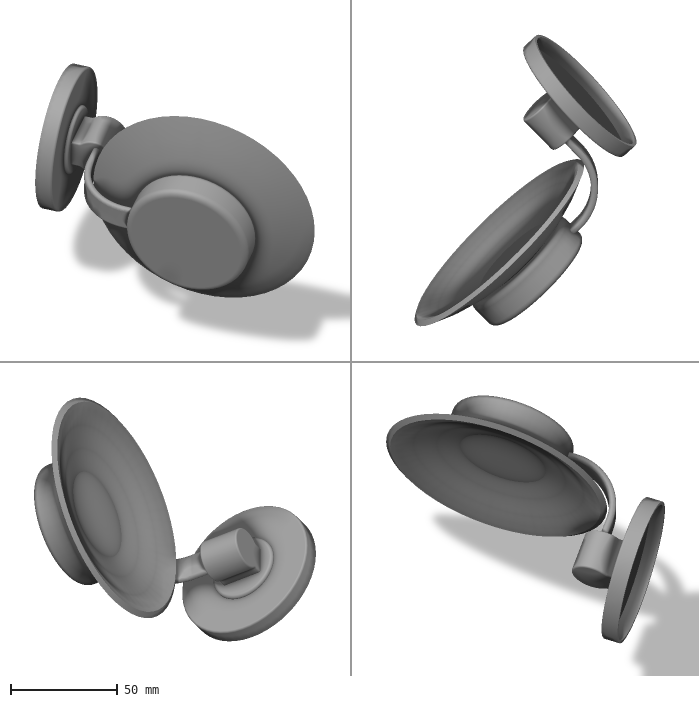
import cadquery as cq
import math


overall_length = 136.0

cover_radius = 35.0
cover_depth = 8.2
cover_wall = 1.5
cover_edge_fillet = 1.0

flange_radius = 16.7
flange_thickness = 1.8
flange_fillet = 1.5
knuckle_radius = 10.0
knuckle_x = 21.2
knuckle_length = 20.4
neck_height = 14.1
neck_fillet = 2.3
bracket_edge_fillet = 0.8

dish_diameter = 110.0
dish_radius = dish_diameter / 2
dish_x = overall_length - dish_radius
dish_sphere_radius = 115.6
rim_edge_y = -26.5
rim_bevel_height = 1.6
rim_bevel_width = 2.6
dish_floor = 2.5

cup_radius = 30.2
cup_height = 15.1
cup_fillet = 3.0
cup_back_y = -38.2

arm_thickness = 3.3
arm_x = 22.2
arm_start_y = -knuckle_length / 2
arm_end_y = -45.2
arm_bend_radius = 25.8
arm_start_width = 14.1
arm_end_width = 12.2
arm_overrun = 2.0
arm_edge_fillet = 1.5


def make_cover():
    cap = cq.Workplane("YZ").circle(cover_radius).extrude(cover_depth)
    cap = cap.faces(">X").edges().fillet(cover_edge_fillet)
    cavity_depth = cover_depth - cover_wall
    cavity = cq.Workplane("YZ").circle(cover_radius - cover_wall).extrude(cavity_depth)
    return cap.cut(cavity)


def make_bracket():
    knuckle = cq.Workplane("XZ").center(knuckle_x, 0).circle(knuckle_radius)
    knuckle = knuckle.extrude(knuckle_length / 2, both=True)
    neck_length = knuckle_x - cover_depth
    neck = cq.Workplane("XY").box(neck_length, knuckle_length, neck_height)
    neck = neck.translate((cover_depth + neck_length / 2, 0, 0))
    body = knuckle.union(neck)

    junction_x = knuckle_x - math.sqrt(knuckle_radius**2 - (neck_height / 2) ** 2)
    half_band = 0.1
    junctions = cq.selectors.BoxSelector(
        (junction_x - half_band, -knuckle_length, -neck_height),
        (junction_x + half_band, knuckle_length, neck_height),
    )
    body = body.edges("|Y").edges(junctions).fillet(neck_fillet)
    body = body.faces("<Y or >Y").edges("not(<X)").fillet(bracket_edge_fillet)

    flange = cq.Workplane("YZ").workplane(offset=cover_depth).circle(flange_radius)
    flange = flange.extrude(flange_thickness).faces(">X").edges().fillet(flange_fillet)
    return body.union(flange)


def sphere_radius_at(y, sphere_radius, centre_y):
    """Distance from the dish axis to a sphere surface at height y."""
    return math.sqrt(sphere_radius**2 - (centre_y - y) ** 2)


def sphere_y_at(radius, sphere_radius, centre_y):
    """Height of a sphere's lower surface at a distance from the dish axis."""
    return centre_y - math.sqrt(sphere_radius**2 - radius**2)


def make_dish():
    centre_y = rim_edge_y + math.sqrt(dish_sphere_radius**2 - dish_radius**2)
    rim_top_y = rim_edge_y + rim_bevel_height
    rim_top_radius = dish_radius - rim_bevel_width
    inner_sphere_radius = math.hypot(rim_top_radius, centre_y - rim_top_y)

    foot_y = cup_back_y
    floor_y = foot_y + dish_floor
    foot_radius = sphere_radius_at(foot_y, dish_sphere_radius, centre_y)
    floor_radius = sphere_radius_at(floor_y, inner_sphere_radius, centre_y)
    outer_mid = (foot_radius + dish_radius) / 2
    inner_mid = (floor_radius + rim_top_radius) / 2

    profile = (
        cq.Workplane("XY")
        .moveTo(0, foot_y)
        .lineTo(foot_radius, foot_y)
        .threePointArc(
            (outer_mid, sphere_y_at(outer_mid, dish_sphere_radius, centre_y)),
            (dish_radius, rim_edge_y),
        )
        .lineTo(rim_top_radius, rim_top_y)
        .threePointArc(
            (inner_mid, sphere_y_at(inner_mid, inner_sphere_radius, centre_y)),
            (floor_radius, floor_y),
        )
        .lineTo(0, floor_y)
        .close()
    )
    return profile.revolve(360, (0, 0, 0), (0, 1, 0)).translate((dish_x, 0, 0))


def make_cup():
    cup = cq.Workplane("XZ", origin=(dish_x, cup_back_y, 0)).circle(cup_radius).extrude(cup_height)
    return cup.faces("<Y or >Y").edges().fillet(cup_fillet)


def arm_section(plane, width):
    """Rounded rectangle across the strap; the plane's first axis is the strap thickness."""
    outline = cq.Workplane(plane).rect(arm_thickness, width).wires().val()
    return outline.fillet2D(arm_edge_fillet, outline.Vertices())


def make_arm(cup):
    bend_start_y = arm_end_y + arm_bend_radius
    bend_end_x = arm_x + arm_bend_radius
    arm_end_x = dish_x - cup_radius + arm_overrun
    path = (
        cq.Workplane("XY")
        .moveTo(arm_x, arm_start_y)
        .lineTo(arm_x, bend_start_y)
        .radiusArc((bend_end_x, arm_end_y), -arm_bend_radius)
        .lineTo(arm_end_x, arm_end_y)
    )
    start_plane = cq.Plane((arm_x, arm_start_y, 0), xDir=(1, 0, 0), normal=(0, -1, 0))
    end_plane = cq.Plane((arm_end_x, arm_end_y, 0), xDir=(0, 1, 0), normal=(1, 0, 0))
    sections = [arm_section(start_plane, arm_start_width), arm_section(end_plane, arm_end_width)]
    strap = cq.Solid.sweep_multi(sections, path.wire().val(), makeSolid=True)
    return cq.Workplane(strap).cut(cup)


cover = make_cover()
bracket = make_bracket()
dish = make_dish()
cup = make_cup()
arm = make_arm(cup)

result = cq.Compound.makeCompound([cover.val(), bracket.val(), arm.val(), cup.val(), dish.val()])